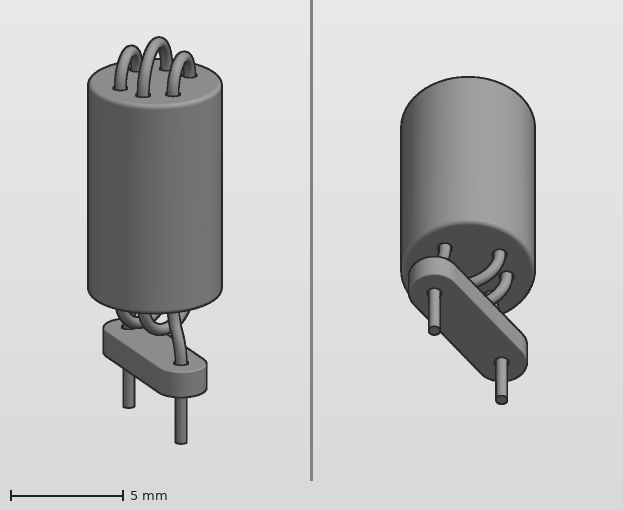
import cadquery as cq
import math

BEAD_DIAMETER = 6.0
BEAD_HEIGHT = 10.0
BEAD_EDGE_RADIUS = 0.2
BORE_CIRCLE_RADIUS = 1.75
BORE_DIAMETER = 0.65

WIRE_DIAMETER = 0.51
TOTAL_HEIGHT = 18.36

PLATE_LENGTH = 7.36
PLATE_WIDTH = 2.3
PLATE_THICKNESS = 1.25
PLATE_EDGE_RADIUS = 0.07
PIN_HOLE_DIAMETER = BORE_DIAMETER
PIN_LENGTH = 2.53

pin_x = (PLATE_LENGTH - PLATE_WIDTH) / 2
plate_top = PIN_LENGTH + PLATE_THICKNESS
bead_top = TOTAL_HEIGHT - WIRE_DIAMETER / 2 - BORE_CIRCLE_RADIUS
bead_bottom = bead_top - BEAD_HEIGHT

BORE_ANGLES = [180, 270, 135, 315, 90, 0]


def bore_position(angle):
    """Return the XY centre of the bore at an angle in degrees."""
    turn = math.radians(angle)
    return BORE_CIRCLE_RADIUS * math.cos(turn), BORE_CIRCLE_RADIUS * math.sin(turn)


bores = [bore_position(angle) for angle in BORE_ANGLES]


def make_bead():
    bead = (
        cq.Workplane("XY", origin=(0, 0, bead_bottom))
        .circle(BEAD_DIAMETER / 2)
        .extrude(BEAD_HEIGHT)
        .edges()
        .fillet(BEAD_EDGE_RADIUS)
    )
    bore_cutters = (
        cq.Workplane("XY", origin=(0, 0, bead_bottom))
        .pushPoints(bores)
        .circle(BORE_DIAMETER / 2)
        .extrude(BEAD_HEIGHT)
    )
    return bead.cut(bore_cutters).solids()


def make_plate():
    plate = (
        cq.Workplane("XY", origin=(0, 0, PIN_LENGTH))
        .slot2D(PLATE_LENGTH, PLATE_WIDTH)
        .extrude(PLATE_THICKNESS)
        .faces("<Z or >Z")
        .edges()
        .fillet(PLATE_EDGE_RADIUS)
    )
    pin_holes = (
        cq.Workplane("XY", origin=(0, 0, PIN_LENGTH))
        .pushPoints([(-pin_x, 0), (pin_x, 0)])
        .circle(PIN_HOLE_DIAMETER / 2)
        .extrude(PLATE_THICKNESS)
    )
    return plate.cut(pin_holes).solids()


def half_loop(start, end, z, direction):
    """Half circle between two bores, bulging up (direction 1) or down (direction -1)."""
    radius = math.dist(start, end) / 2
    crown = cq.Vector((start[0] + end[0]) / 2, (start[1] + end[1]) / 2, z + direction * radius)
    return cq.Edge.makeThreePointArc(cq.Vector(*start, z), crown, cq.Vector(*end, z))


def lead_edges(side):
    """Lead from a pin tip up to the bead: a straight pin, then two equal arcs forming an S."""
    tip = cq.Vector(side * pin_x, 0, 0)
    pin_end = cq.Vector(side * pin_x, 0, plate_top)
    bead_entry = cq.Vector(side * BORE_CIRCLE_RADIUS, 0, bead_bottom)
    inflection = (pin_end + bead_entry) / 2
    pin = cq.Edge.makeLine(tip, pin_end)
    lower_arc = cq.Edge.makeTangentArc(pin_end, cq.Vector(0, 0, 1), inflection)
    upper_arc = cq.Edge.makeTangentArc(inflection, lower_arc.tangentAt(1), bead_entry)
    return [pin, lower_arc, upper_arc]


def make_wire():
    edges = lead_edges(-1) + lead_edges(1)
    for x, y in bores:
        edges.append(cq.Edge.makeLine(cq.Vector(x, y, bead_bottom), cq.Vector(x, y, bead_top)))
    for index, (start, end) in enumerate(zip(bores, bores[1:])):
        if index % 2 == 0:
            edges.append(half_loop(start, end, bead_top, 1))
        else:
            edges.append(half_loop(start, end, bead_bottom, -1))
    path = cq.Wire.combine(edges)[0]
    return cq.Workplane("XY", origin=(-pin_x, 0, 0)).circle(WIRE_DIAMETER / 2).sweep(cq.Workplane(path))


bead = make_bead()
plate = make_plate()
wire = make_wire()

result = cq.Compound.makeCompound([bead.val(), plate.val(), wire.val()])